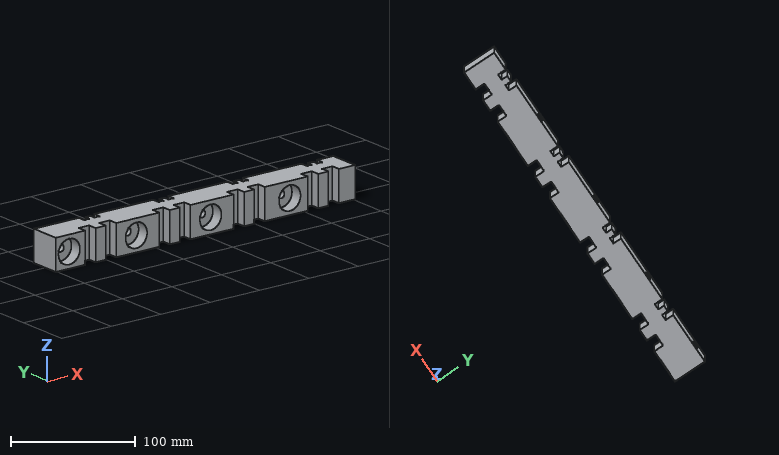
import cadquery as cq

length = 303.0
side = 29.0

station_count = 4
first_station_end = 61.2
right_margin = 16.7
station_pitch = (length - right_margin - first_station_end) / (station_count - 1)

front_slot_width = 10.5
front_slot_depth = 8.5
front_slot_spacing = 21.0

rear_slot_width = 15.5
rear_slot_depth = 7.3
rear_rib_width = 5.5
rear_rib_drop = 1.8

hole_positions = (13.5, 81.5, 156.5, 236.5)
hole_diameter = 6.5
bore_diameter = 21.8
bore_depth = 11.2


def upright_block(x_start, y_start, width, depth):
    """Block spanning the full height of the bar."""
    return cq.Workplane("XY").box(width, depth, side, centered=False).translate((x_start, y_start, 0))


def front_slots(station_end):
    right_slot_start = station_end - front_slot_width
    left_slot_start = right_slot_start - front_slot_spacing
    right_slot = upright_block(right_slot_start, 0, front_slot_width, front_slot_depth)
    left_slot = upright_block(left_slot_start, 0, front_slot_width, front_slot_depth)
    return left_slot.union(right_slot)


def rear_slot(station_end):
    slot_start = station_end - rear_slot_width
    slot_floor = side - rear_slot_depth
    rib_start = slot_start + (rear_slot_width - rear_rib_width) / 2
    slot = upright_block(slot_start, slot_floor, rear_slot_width, rear_slot_depth)
    rib = upright_block(rib_start, slot_floor, rear_rib_width, rear_slot_depth - rear_rib_drop)
    return slot.cut(rib)


def drilling(x, diameter, depth):
    """Cylinder at mid height, running from the front face toward +Y."""
    front_plane = cq.Workplane("XZ", origin=(x, 0, side / 2))
    return front_plane.circle(diameter / 2).extrude(-depth)


result = cq.Workplane("XY").box(length, side, side, centered=False)

for station in range(station_count):
    station_end = first_station_end + station * station_pitch
    result = result.cut(front_slots(station_end))
    result = result.cut(rear_slot(station_end))

for x in hole_positions:
    result = result.cut(drilling(x, hole_diameter, side))
    result = result.cut(drilling(x, bore_diameter, bore_depth))